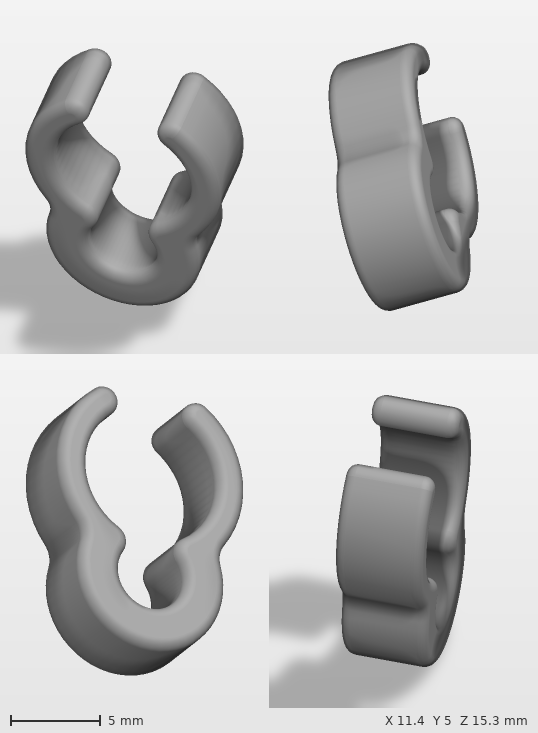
import cadquery as cq
import math

width = 11.45
height = 15.29
depth = 5.0

jaw_outer_radius = width / 2
jaw_inner_radius = 4.0
base_outer_radius = 4.5
base_inner_radius = 2.0
ring_spacing = 6.01

lip_radius = 1.0
waist_radius = 1.5
edge_radius = 0.6

tip_radius = (jaw_outer_radius - jaw_inner_radius) / 2
jaw_middle_radius = jaw_inner_radius + tip_radius
tip_z = height - base_outer_radius - ring_spacing - tip_radius
tip_x = math.sqrt(jaw_middle_radius**2 - tip_z**2)

jaw_center = (0, 0)
base_center = (0, -ring_spacing)
tip_center = (tip_x, tip_z)


def blend_center(jaw_radius, base_radius, radius):
    """Centre, on the +X side, of a circle touching both ring circles from outside."""
    to_jaw = jaw_radius + radius
    to_base = base_radius + radius
    drop = (ring_spacing**2 + to_jaw**2 - to_base**2) / (2 * ring_spacing)
    return (math.sqrt(to_jaw**2 - drop**2), -drop)


def toward(center, target, radius):
    """Point on a circle in the direction of the target."""
    dx = target[0] - center[0]
    dz = target[1] - center[1]
    scale = radius / math.hypot(dx, dz)
    return (center[0] + dx * scale, center[1] + dz * scale)


def mirrored(point):
    return (-point[0], point[1])


lip_center = blend_center(jaw_inner_radius, base_inner_radius, lip_radius)
waist_center = blend_center(jaw_outer_radius, base_outer_radius, waist_radius)

base_waist = toward(base_center, waist_center, base_outer_radius)
jaw_waist = toward(jaw_center, waist_center, jaw_outer_radius)
tip_outer = toward(jaw_center, tip_center, jaw_outer_radius)
tip_inner = toward(jaw_center, tip_center, jaw_inner_radius)
jaw_lip = toward(jaw_center, lip_center, jaw_inner_radius)
base_lip = toward(base_center, lip_center, base_inner_radius)

waist_mid = (waist_center[0] - waist_radius, waist_center[1])
jaw_outer_mid = (jaw_outer_radius, 0)
tip_mid = (tip_x - tip_radius * tip_z / jaw_middle_radius,
           tip_z + tip_radius * tip_x / jaw_middle_radius)
jaw_inner_mid = (jaw_inner_radius, 0)
lip_mid = (lip_center[0] - lip_radius, lip_center[1])
base_outer_bottom = (0, -ring_spacing - base_outer_radius)
base_inner_bottom = (0, -ring_spacing - base_inner_radius)

half_arcs = [
    (waist_mid, jaw_waist),
    (jaw_outer_mid, tip_outer),
    (tip_mid, tip_inner),
    (jaw_inner_mid, jaw_lip),
    (lip_mid, base_lip),
]

outline = cq.Workplane("XZ").moveTo(*base_waist)
for middle, end in half_arcs:
    outline = outline.threePointArc(middle, end)
outline = outline.threePointArc(base_inner_bottom, mirrored(base_lip))

arc_starts = [base_waist] + [end for _, end in half_arcs[:-1]]
for start, (middle, _) in zip(reversed(arc_starts), reversed(half_arcs)):
    outline = outline.threePointArc(mirrored(middle), mirrored(start))
outline = outline.threePointArc(base_outer_bottom, base_waist).close()

clip = outline.extrude(depth / 2, both=True)
result = clip.faces("<Y or >Y").edges().fillet(edge_radius)